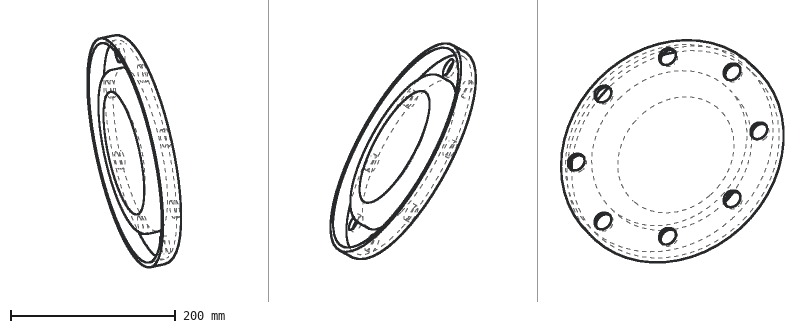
import cadquery as cq
import math

outer_radius = 142.5
rim_width = 6.0
total_depth = 27.0
boss_projection = 1.7
back_round = 7.7
floor_thickness = 6.0

boss_radius = 102.0
boss_round = 7.7
dish_mouth_radius = 76.5
dish_edge_width = 2.8
dish_edge_depth = 1.0
dish_depth = 17.0

hole_count = 8
hole_diameter = 22.0
bolt_circle_radius = 120.0

rim_face = boss_projection
floor_face = total_depth - floor_thickness


def make_body():
    """Revolve the stepped section, with its rounded edges, about the Y axis."""
    rim_inner_radius = outer_radius - rim_width
    round_offset = math.sqrt(0.5)
    back_mid = (
        outer_radius - back_round * (1 - round_offset),
        total_depth - back_round * (1 - round_offset),
    )
    boss_mid = (
        boss_radius - boss_round * (1 - round_offset),
        boss_round * (1 - round_offset),
    )
    section = (
        cq.Workplane("XY")
        .moveTo(0, 0)
        .lineTo(boss_radius - boss_round, 0)
        .threePointArc(boss_mid, (boss_radius, boss_round))
        .lineTo(boss_radius, floor_face)
        .lineTo(rim_inner_radius, floor_face)
        .lineTo(rim_inner_radius, rim_face)
        .lineTo(outer_radius, rim_face)
        .lineTo(outer_radius, total_depth - back_round)
        .threePointArc(back_mid, (outer_radius - back_round, total_depth))
        .lineTo(0, total_depth)
        .close()
    )
    return section.revolve(360, (0, 0, 0), (0, 1, 0))


def make_dish():
    """Spherical hollow with a narrow bevel around its mouth."""
    bowl_radius = dish_mouth_radius - dish_edge_width
    bowl_sag = dish_depth - dish_edge_depth
    sphere_radius = (bowl_radius**2 + bowl_sag**2) / (2 * bowl_sag)
    half_angle = math.asin(bowl_radius / sphere_radius) / 2
    arc_mid = (
        sphere_radius * math.sin(half_angle),
        dish_depth - sphere_radius * (1 - math.cos(half_angle)),
    )
    section = (
        cq.Workplane("XY")
        .moveTo(0, 0)
        .lineTo(dish_mouth_radius, 0)
        .lineTo(bowl_radius, dish_edge_depth)
        .threePointArc(arc_mid, (0, dish_depth))
        .close()
    )
    return section.revolve(360, (0, 0, 0), (0, 1, 0))


def make_bolt_holes():
    """Evenly spaced through holes, the first one on the X axis."""
    return (
        cq.Workplane("XZ")
        .polarArray(bolt_circle_radius, 0, 360, hole_count)
        .circle(hole_diameter / 2)
        .extrude(-total_depth)
    )


result = make_body().cut(make_dish()).cut(make_bolt_holes())